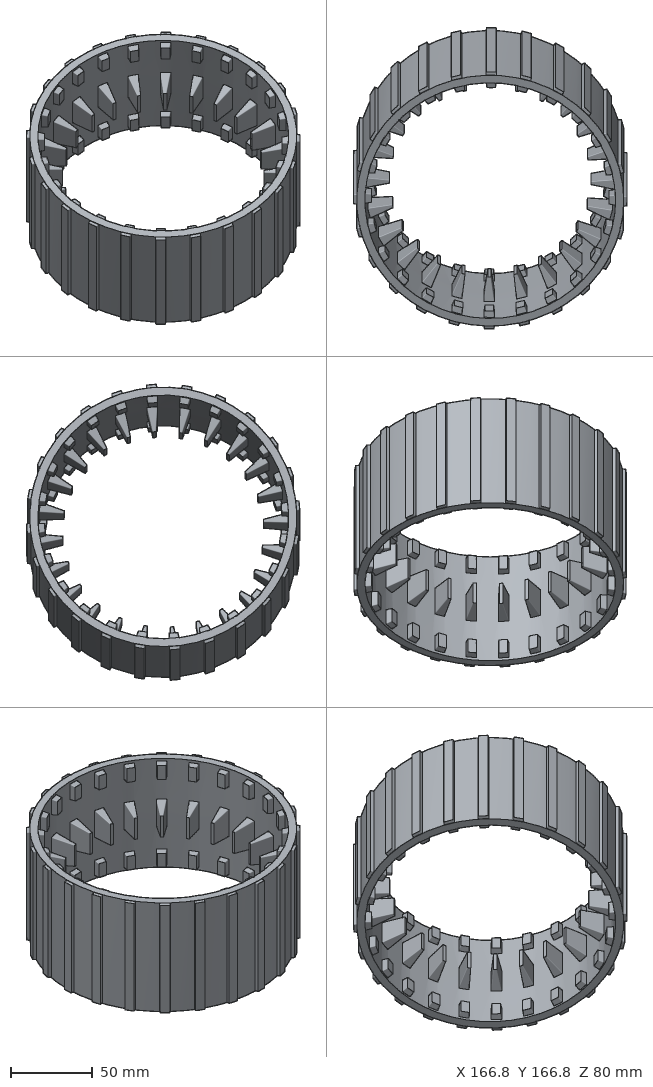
import cadquery as cq
import math

ring_height = 80.0
ring_outer_radius = 81.4
wall_thickness = 5.0
ring_inner_radius = ring_outer_radius - wall_thickness
mid_height = ring_height / 2

station_count = 24
station_pitch = 360.0 / station_count

block_width = 6.5
block_draft = 8.4
edge_round = 0.5
root_depth = 2.0

rib_tip_radius = ring_outer_radius + 2.0
rib_rim_gap = 0.15
rib_length = ring_height - 2 * rib_rim_gap

tooth_tip_radius = ring_inner_radius - 15.0
tooth_length = 20.0

pad_tip_radius = ring_inner_radius - 4.0
pad_length = 11.4
pad_rim_gap = 2.0
pad_center_offset = pad_rim_gap + pad_length / 2


def make_ring():
    return (
        cq.Workplane("XY")
        .circle(ring_outer_radius)
        .circle(ring_inner_radius)
        .extrude(ring_height)
    )


def make_block(base_radius, tip_radius, length, center_height):
    """Block on the +X axis that narrows from its base on the ring wall to its tip."""
    reach = abs(tip_radius - base_radius)
    radial_sign = math.copysign(1, tip_radius - base_radius)
    base_plane = cq.Plane(
        origin=(base_radius, 0, center_height),
        xDir=(0, 1, 0),
        normal=(radial_sign, 0, 0),
    )
    base_face = "<X" if radial_sign > 0 else ">X"
    tapered = (
        cq.Workplane(base_plane)
        .rect(block_width, length)
        .extrude(reach, taper=block_draft)
        .edges("not(#X)")
        .fillet(edge_round)
    )
    base_outline = tapered.faces(base_face).wires()
    root = cq.Workplane(base_plane).add(base_outline).toPending().extrude(-root_depth)
    return tapered.union(root)


def make_station():
    """The blocks that stand on the ring at one angle."""
    rib = make_block(ring_outer_radius, rib_tip_radius, rib_length, mid_height)
    tooth = make_block(ring_inner_radius, tooth_tip_radius, tooth_length, mid_height)
    pads = [
        make_block(ring_inner_radius, pad_tip_radius, pad_length, height)
        for height in (pad_center_offset, ring_height - pad_center_offset)
    ]
    return [rib, tooth, *pads]


def repeat_around_axis(blocks):
    """Copies of the blocks at every station around the Z axis."""
    return [
        block.rotate((0, 0, 0), (0, 0, 1), index * station_pitch).val()
        for index in range(station_count)
        for block in blocks
    ]


ring = make_ring()
all_blocks = repeat_around_axis(make_station())
result = cq.Workplane(ring.val().fuse(*all_blocks)).solids()